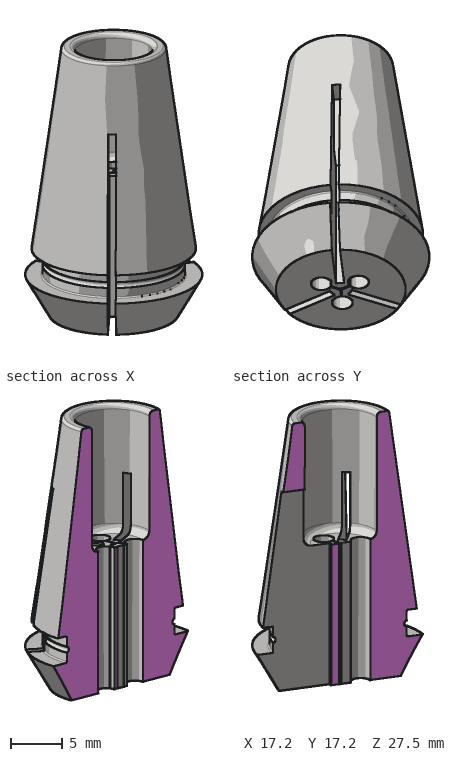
import cadquery as cq
import math

height = 27.5
flange_radius = 17.25 / 2
flange_height = 4.02
flange_half_angle = 30.0
neck_radius = 6.93
neck_fillet = 0.15
taper_base_z = 6.7
taper_base_radius = 8.0
taper_half_angle = 8.0
rim_fillet = 0.3

groove_z = 5.34
groove_half_width = 0.3
groove_depth = 0.25

bore_radius = 7.5 / 2
bore_floor_z = 14.52
bore_floor_fillet = 0.8
bore_mouth_fillet = 0.5

jaw_count = 3
slot_width = 0.8
slot_inner_radius = 1.02
slot_top_z = 20.52
relief_hole_diameter = 2.0
relief_hole_offset = 2.1
slit_width = 0.1
center_hole_diameter = 0.28


def tan_deg(angle):
    return math.tan(math.radians(angle))


def make_body():
    """Revolve the outer profile: clamping flange, grooved neck and taper."""
    bottom_radius = flange_radius - flange_height * tan_deg(flange_half_angle)
    top_radius = taper_base_radius - (height - taper_base_z) * tan_deg(taper_half_angle)
    profile = (
        cq.Workplane("XZ")
        .lineTo(bottom_radius, 0)
        .lineTo(flange_radius, flange_height)
        .lineTo(neck_radius + neck_fillet, flange_height)
        .radiusArc((neck_radius, flange_height + neck_fillet), neck_fillet)
        .lineTo(neck_radius, groove_z - groove_half_width)
        .threePointArc(
            (neck_radius - groove_depth, groove_z),
            (neck_radius, groove_z + groove_half_width),
        )
        .lineTo(neck_radius, taper_base_z - neck_fillet)
        .radiusArc((neck_radius + neck_fillet, taper_base_z), neck_fillet)
        .lineTo(taper_base_radius, taper_base_z)
        .lineTo(top_radius, height)
        .lineTo(0, height)
        .close()
    )
    body = profile.revolve(360, (0, 0, 0), (0, 1, 0))
    return body.faces(">Z").edges().fillet(rim_fillet)


def make_bore():
    """Bore with a rounded floor corner."""
    bore = cq.Workplane("XY", origin=(0, 0, bore_floor_z)).circle(bore_radius).extrude(height - bore_floor_z)
    return bore.faces("<Z").edges().fillet(bore_floor_fillet)


def make_radial_cut(inner_radius, outer_radius, width, top_z, angle):
    """Upright slab reaching outwards from the axis in one direction."""
    slab = cq.Workplane("XY").box(
        outer_radius - inner_radius, width, top_z, centered=(False, True, False)
    )
    return slab.translate((inner_radius, 0, 0)).rotate((0, 0, 0), (0, 0, 1), angle)


def make_relief_holes():
    """Vertical holes through the base and the rounded corner of the bore floor."""
    return (
        cq.Workplane("XY")
        .polarArray(relief_hole_offset, 0, 360, jaw_count)
        .circle(relief_hole_diameter / 2)
        .extrude(bore_floor_z + bore_floor_fillet)
    )


body = make_body().cut(make_bore())
body = body.faces(">Z").edges(cq.selectors.RadiusNthSelector(0)).fillet(bore_mouth_fillet)

center_hole = cq.Workplane("XY").circle(center_hole_diameter / 2).extrude(bore_floor_z)
body = body.cut(center_hole).cut(make_relief_holes())

for index in range(jaw_count):
    slit_angle = index * 360 / jaw_count
    slot_angle = slit_angle + 180 / jaw_count
    body = body.cut(make_radial_cut(0, relief_hole_offset, slit_width, bore_floor_z, slit_angle))
    body = body.cut(make_radial_cut(slot_inner_radius, 2 * flange_radius, slot_width, slot_top_z, slot_angle))

result = body